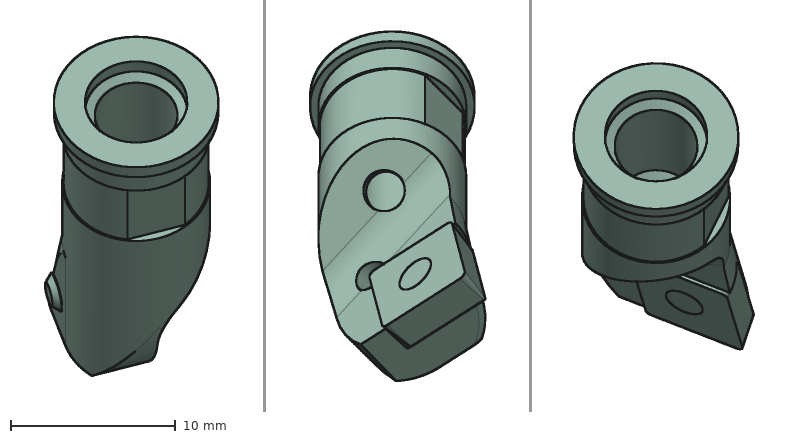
import math

import cadquery as cq


HEIGHT = 23.0
FAR = 2 * HEIGHT

FLANGE_DIAMETER = 10.0
FLANGE_BOTTOM = HEIGHT - 1.0
SHANK_DIAMETER = 9.0
SHANK_RADIUS = SHANK_DIAMETER / 2
COLLAR_BOTTOM = HEIGHT - 3.0
GROOVE_DIAMETER = 8.8
GROOVE_BOTTOM = HEIGHT - 8.0
FLATS_ACROSS = 8.0

BOTTOM_FRONT_HEIGHT = 0.45
BOTTOM_SLOPE = 3.2

FLARE_TOP = 9.27
FLARE_ANGLE = 7.8
FLARE_EDGE_RADIUS = 0.4

CLEARANCE_TOP = 6.1
CLEARANCE_RADIUS = 9.55

FLUTE_CURVE_HEIGHT = 6.95
FLUTE_RADIUS = 3.0
FLUTE_TILT = 30.0
FLUTE_FLOOR_SLOPE = 30.0

MOUTH_DIAMETER = 6.2
MOUTH_DEPTH = 1.0
BORE_DIAMETER = 5.01
BORE_DEPTH = 9.2
BORE_CONE_SLOPE = 30.0
COOLANT_DIAMETER = 2.5
COOLANT_OUTLET = (-0.95, 1.98)
COOLANT_LENGTH = 5.52
COOLANT_HEADING = 56.0
COOLANT_TILT = 40.0

TOTAL_WIDTH = 10.85
INSERT_LEFT = TOTAL_WIDTH - FLANGE_DIAMETER / 2
INSERT_ANGLE = 80.0
INSERT_WIDTH = 6.35
INSERT_THICKNESS = 2.37
INSERT_TOP = 0.28
INSERT_RELIEF = 7.0
TIP_RADIUS = 0.4
POCKET_RELIEF = 2.0
POCKET_CORNER_RADIUS = 1.05

SCREW_X = -2.0
SCREW_Z = 3.34
SCREW_DIAMETER = 2.44
SCREW_CHAMFER = 0.48
SCREW_PROTRUSION = 0.44


def sin(angle):
    return math.sin(math.radians(angle))


def cos(angle):
    return math.cos(math.radians(angle))


def tan(angle):
    return math.tan(math.radians(angle))


def cylinder(diameter, bottom, top):
    return cq.Workplane("XY").workplane(offset=bottom).circle(diameter / 2).extrude(top - bottom)


def cylinder_along_y(x, z, diameter, start, end):
    """Cylinder with its axis along Y, from Y = start to Y = end."""
    plane = cq.Plane(origin=(x, start, z), xDir=(1, 0, 0), normal=(0, 1, 0))
    return cq.Workplane(plane).circle(diameter / 2).extrude(end - start)


def turned_shank():
    groove = cylinder(GROOVE_DIAMETER, GROOVE_BOTTOM, COLLAR_BOTTOM)
    flats = cq.Workplane("XY").box(FLATS_ACROSS, FAR, FAR)
    shank = cylinder(SHANK_DIAMETER, 0, GROOVE_BOTTOM)
    shank = shank.union(groove.intersect(flats))
    shank = shank.union(cylinder(SHANK_DIAMETER, COLLAR_BOTTOM, FLANGE_BOTTOM))
    return shank.union(cylinder(FLANGE_DIAMETER, FLANGE_BOTTOM, HEIGHT))


def below_bottom():
    """Everything under the sloping bottom face."""
    drop = FAR * tan(BOTTOM_SLOPE)
    outline = [
        (-SHANK_RADIUS - FAR, BOTTOM_FRONT_HEIGHT + drop),
        (-SHANK_RADIUS + FAR, BOTTOM_FRONT_HEIGHT - drop),
        (-SHANK_RADIUS - FAR, BOTTOM_FRONT_HEIGHT - drop),
    ]
    return cq.Workplane("YZ").polyline(outline).close().extrude(FAR, both=True)


def flare():
    """Quarter cone between -X and -Y, cut level with the front of the shank."""
    foot_radius = SHANK_RADIUS + FLARE_TOP * tan(FLARE_ANGLE)
    half_outline = [(0, 0), (-foot_radius, 0), (-SHANK_RADIUS, FLARE_TOP), (0, FLARE_TOP)]
    cone = cq.Workplane("XZ").polyline(half_outline).close().revolve(360, (0, 0), (0, 1))
    quarter = cq.Workplane("XY").box(FAR, SHANK_RADIUS, FAR).translate((-FAR / 2, -SHANK_RADIUS / 2, 0))
    cone_quarter = cone.intersect(quarter).cut(below_bottom())
    return cone_quarter.faces("<Z").edges("%ELLIPSE").fillet(FLARE_EDGE_RADIUS)


def trailing_clearance():
    """Region outside the arc that rounds off the lower +X side."""
    centre_x = SHANK_RADIUS - CLEARANCE_RADIUS
    block = (
        cq.Workplane("XZ")
        .moveTo(centre_x, CLEARANCE_TOP)
        .rect(FAR, -CLEARANCE_RADIUS, centered=False)
        .extrude(FAR, both=True)
    )
    kept = cylinder_along_y(centre_x, CLEARANCE_TOP, 2 * CLEARANCE_RADIUS, -FAR, FAR)
    return block.cut(kept)


def flute():
    plane = cq.Plane(
        origin=(0, 0, FLUTE_CURVE_HEIGHT),
        xDir=(0, 1, 0),
        normal=(cos(FLUTE_TILT), 0, -sin(FLUTE_TILT)),
    )
    turn = 90 - FLUTE_FLOOR_SLOPE

    def on_curve(angle):
        return FLUTE_RADIUS * (1 - cos(angle)), FLUTE_RADIUS * sin(angle)

    floor_y, floor_z = on_curve(turn)
    return (
        cq.Workplane(plane)
        .moveTo(0, -FAR)
        .lineTo(0, 0)
        .threePointArc(on_curve(turn / 2), (floor_y, floor_z))
        .line(FAR, FAR * tan(FLUTE_FLOOR_SLOPE))
        .lineTo(floor_y + FAR, -FAR)
        .close()
        .extrude(FAR, both=True)
    )


def bore():
    mouth_radius = MOUTH_DIAMETER / 2
    bore_radius = BORE_DIAMETER / 2
    mouth_bottom = HEIGHT - MOUTH_DEPTH
    step_bottom = mouth_bottom - (mouth_radius - bore_radius) * tan(BORE_CONE_SLOPE)
    bore_bottom = HEIGHT - BORE_DEPTH
    half_outline = [
        (0, HEIGHT),
        (mouth_radius, HEIGHT),
        (mouth_radius, mouth_bottom),
        (bore_radius, step_bottom),
        (bore_radius, bore_bottom),
        (0, bore_bottom - bore_radius * tan(BORE_CONE_SLOPE)),
    ]
    return cq.Workplane("XZ").polyline(half_outline).close().revolve(360, (0, 0), (0, 1))


def coolant_hole():
    """Sloping hole from its outlet in the flute floor up into the bore."""
    x, y = COOLANT_OUTLET
    floor_y = FLUTE_RADIUS * (1 - sin(FLUTE_FLOOR_SLOPE))
    floor_height = FLUTE_CURVE_HEIGHT + FLUTE_RADIUS * cos(FLUTE_FLOOR_SLOPE) / cos(FLUTE_TILT)
    z = floor_height - x * tan(FLUTE_TILT) + (y - floor_y) * tan(FLUTE_FLOOR_SLOPE) / cos(FLUTE_TILT)
    inward = cq.Vector(
        sin(COOLANT_TILT) * cos(COOLANT_HEADING),
        -sin(COOLANT_TILT) * sin(COOLANT_HEADING),
        cos(COOLANT_TILT),
    )
    start = cq.Vector(x, y, z) - inward * COOLANT_DIAMETER
    hole = cq.Solid.makeCylinder(
        COOLANT_DIAMETER / 2, COOLANT_DIAMETER + COOLANT_LENGTH, start, inward
    )
    return cq.Workplane(hole)


def insert_corners():
    """Sharp corners of the insert's top face as (x, z), starting at the tip."""
    side = INSERT_WIDTH / sin(INSERT_ANGLE)
    tip_x = TIP_RADIUS - INSERT_LEFT - TIP_RADIUS / tan(INSERT_ANGLE / 2)
    rise_x = side * cos(INSERT_ANGLE)
    return [
        (tip_x, 0),
        (tip_x + side, 0),
        (tip_x + side + rise_x, INSERT_WIDTH),
        (tip_x + rise_x, INSERT_WIDTH),
    ]


def tapered_block(corners, relief_angle):
    """Outline on Y = INSERT_TOP that narrows by the given angle towards -Y."""
    outline = cq.Sketch().polygon(corners + corners[:1]).vertices().fillet(TIP_RADIUS)
    return (
        cq.Workplane("XZ", origin=(0, INSERT_TOP, 0))
        .placeSketch(outline)
        .extrude(INSERT_THICKNESS, taper=relief_angle)
    )


def insert_pocket():
    """Seat of the insert, open towards -X, with a round relief at its rear corner."""
    tip, front, rear, outer = insert_corners()
    open_corners = [(tip[0] - SHANK_RADIUS, tip[1]), front, rear, (outer[0] - SHANK_RADIUS, outer[1])]
    seat = INSERT_TOP - INSERT_THICKNESS
    relief = cylinder_along_y(*rear, 2 * POCKET_CORNER_RADIUS, seat, FAR)
    return tapered_block(open_corners, POCKET_RELIEF).union(relief)


def screw_body():
    """Chamfered pin, flush with the insert and standing out at the front."""
    front_end = -SHANK_RADIUS - SCREW_PROTRUSION
    pin = cylinder_along_y(SCREW_X, SCREW_Z, SCREW_DIAMETER, front_end, INSERT_TOP)
    return pin.faces("<Y").chamfer(SCREW_CHAMFER)


def holder_body():
    body = turned_shank().cut(below_bottom()).union(flare())
    for tool in (trailing_clearance(), flute(), bore(), coolant_hole(), insert_pocket()):
        body = body.cut(tool)
    return body


screw = screw_body()
insert = tapered_block(insert_corners(), INSERT_RELIEF).cut(screw)
holder = holder_body().cut(screw)

result = cq.Compound.makeCompound([holder.val(), insert.val(), screw.val()])